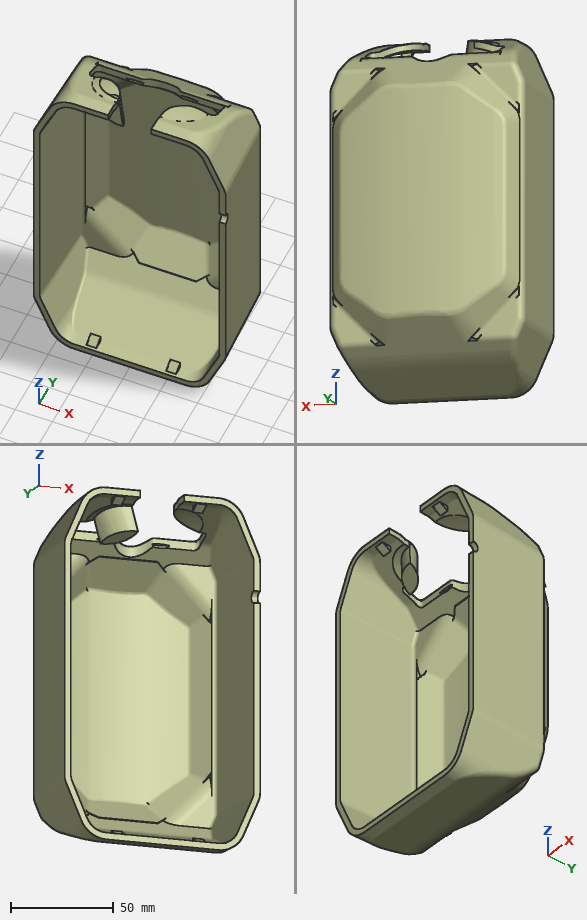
import cadquery as cq
import math

HEIGHT = 177.7
WIDTH = 103.0
DEPTH = 63.3
WALL = 3.4
DRAFT = 2.4

HALF_WIDTH = WIDTH / 2
HALF_HEIGHT = HEIGHT / 2
FOLD_Z = 60.3
END_HALF_WIDTH = 39.0
FOLD_RADIUS = 9.8
END_RADIUS = 14.2

LIP_DEPTH = 6.4
KNEE_Y = 39.5
KNEE_Z = 76.8
KNEE_RADIUS = 30.2
INNER_KNEE_RADIUS = 10.7
SHOULDER_Y = 49.6
SHOULDER_WALL = 3.7
GENTLE_DROP = 3.7
STEEP_DROP = 5.3
STEEP_SLOPE = 0.83
FRONT_MARGIN = 17.8
REAR_MARGIN_Y = 80.0

BACK_RADIUS = 140.5
FLOOR_WALL = 1.8
PAD_HALF_WIDTH = 47.1
PAD_OVERHANG = 1.0
PAD_CORNER_SUM = 92.5
PAD_SIDE_SLOPE = 0.7
PAD_CORNER_SLOPE = 1.25
PAD_ROOT = 5.3
HOLLOW_HALF_WIDTH = 43.9
HOLLOW_HALF_HEIGHT = 65.8
HOLLOW_CORNER_SUM = 87.1

PAD_EDGE_RADIUS = 3.5
PAD_CORNER_RADIUS = 17.8
HOLLOW_CORNER_RADIUS = 4.5
BASIN_EDGE_RADIUS = 3.9
BLEND_RADIUS = 3.4
INNER_EDGE_RADIUS = 1.8
HOLLOW_BLEND_RADIUS = 9.8
BLEND_ROOT = 0.9
TOLERANCE = 0.02
PARALLEL = 0.97

STEM_HALF_WIDTH = 11.5
SLOT_HALF_WIDTH = 34.1
SLOT_FRONT_Y = 26.8
SLOT_CORNER_RADIUS = 2.7
SLOT_REAR_Y = 39.3
RELIEF_HALF_WIDTH = 35.4
RELIEF_REAR_Y = 42.5
RELIEF_DEPTH = 0.7
EAR_RADIUS = 15.6
CABLE_RADIUS = 11.5
CABLE_REAR_Y = 45.0
CABLE_EDGE_RADIUS = 2.7
CUT_BASE_Z = 53.3
CUT_TOP_Z = 106.6

DOME_X = 13.9
DOME_Y = 26.0
DOME_RADIUS = 16.4
DOME_HEIGHT = 2.8
DOME_FLAT_HEIGHT = 2.3

PILLAR_RADIUS = 15.1
PILLAR_CENTRE = (-12.5, 28.5)
PILLAR_LEAN = (0.2, -0.15)
PILLAR_TOP_Z = 87.1
PILLAR_LENGTH = 28.5
PILLAR_DEPTH = 15.1

TAB_X = 21.3
TAB_WIDTH = 5.3
TAB_HEIGHT = 3.2
TAB_START_Y = 1.8
TAB_END_Y = 7.1
GROOVE_Z = 40.7
GROOVE_RADIUS = 3.0

SLOPE_ANGLE = math.atan2(HALF_HEIGHT - KNEE_Z, KNEE_Y - LIP_DEPTH)
SLOPE_NORMAL = cq.Vector(0, math.sin(SLOPE_ANGLE), math.cos(SLOPE_ANGLE))


def slope_z(y):
    """Height of the gently sloped top skin at depth y."""
    return HALF_HEIGHT - (y - LIP_DEPTH) * math.tan(SLOPE_ANGLE)


def steep_z(y):
    """Height of the steeply sloped top skin at depth y."""
    return KNEE_Z - STEEP_SLOPE * (y - KNEE_Y)


def rim_outline(inset):
    """Sketch of the rim outline with X across and Z up, moved inward by the inset."""
    corners = cq.Workplane("XY").polyline([
        (HALF_WIDTH, -FOLD_Z), (HALF_WIDTH, FOLD_Z),
        (END_HALF_WIDTH, HALF_HEIGHT), (-END_HALF_WIDTH, HALF_HEIGHT),
        (-HALF_WIDTH, FOLD_Z), (-HALF_WIDTH, -FOLD_Z),
        (-END_HALF_WIDTH, -HALF_HEIGHT), (END_HALF_WIDTH, -HALF_HEIGHT),
    ]).close()
    if inset > 0:
        corners = corners.offset2D(-inset, "intersection")
    return (
        cq.Sketch().face(corners.val())
        .vertices(">X or <X").fillet(FOLD_RADIUS - inset)
        .reset().vertices(">Y or <Y").fillet(END_RADIUS - inset)
        .reset()
    )


def end_profile(gentle_drop, steep_drop, knee_radius):
    """Prism along X with the gentle and steep slopes of both ends, lowered by the drops."""
    knee_y = KNEE_Y - (steep_drop - gentle_drop) / (STEEP_SLOPE - math.tan(SLOPE_ANGLE))
    upper = [
        (-FRONT_MARGIN, slope_z(-FRONT_MARGIN) - gentle_drop),
        (knee_y, slope_z(knee_y) - gentle_drop),
        (REAR_MARGIN_Y, steep_z(REAR_MARGIN_Y) - steep_drop),
    ]
    lower = [(y, -z) for y, z in reversed(upper)]
    prism = cq.Workplane("YZ").polyline(upper + lower).close().extrude(HALF_WIDTH, both=True)
    knees = cq.selectors.BoxSelector(
        (-1.8, LIP_DEPTH, -HALF_HEIGHT), (1.8, SHOULDER_Y, HALF_HEIGHT))
    return prism.edges("|X").edges(knees).fillet(knee_radius)


class RearRim(cq.Selector):
    """Edges around the slopes and the shoulder of a basin, without its draft edges.

    The straight edges along X belong to it only when they bound the shoulder and round_ends is set.
    """

    def __init__(self, shoulder_y, round_ends):
        self.shoulder_y = shoulder_y
        self.round_ends = round_ends

    def filter(self, edges):
        return [edge for edge in edges if self.is_rim(edge)]

    def is_rim(self, edge):
        direction = edge.tangentAt(0.5)
        if abs(direction.y) > PARALLEL:
            return False
        if abs(direction.x) > PARALLEL:
            return self.round_ends and edge.Center().y > self.shoulder_y - TOLERANCE
        return edge.Center().y > LIP_DEPTH + WALL


def basin(inset, shoulder_y, ends, edge_radius, round_ends):
    """Drafted block up to the flat shoulder, with its sides moved inward and its ends cut by the prism."""
    block = (
        cq.Workplane("XY").placeSketch(rim_outline(inset))
        .extrude(shoulder_y, taper=DRAFT)
        .rotate((0, 0, 0), (1, 0, 0), -90)
        .intersect(ends)
    )
    return block.edges(RearRim(shoulder_y, round_ends)).fillet(edge_radius)


def octagon(half_width, half_height, corner_sum):
    """Points of an octagon with 45 degree corner faces."""
    quarter = [
        (half_width, corner_sum - half_width),
        (corner_sum - half_height, half_height),
    ]
    right = [(x, -z) for x, z in reversed(quarter)] + quarter
    left = [(-x, -z) for x, z in right]
    return right + left


def pad(shoulder_y, half_width, half_height, corner_sum, corner_radius, rear_inset):
    """Tapering octagonal block, sized at the shoulder, with a rear face on a cylinder along Z."""
    rise = DEPTH - shoulder_y

    def section(height):
        return octagon(
            half_width - PAD_SIDE_SLOPE * height,
            half_height - STEEP_SLOPE * height,
            corner_sum - PAD_CORNER_SLOPE * height,
        )

    block = (
        cq.Workplane("XZ", origin=(0, shoulder_y - PAD_ROOT, 0)).polyline(section(-PAD_ROOT)).close()
        .workplane(offset=-PAD_ROOT - rise).polyline(section(rise)).close()
        .loft(ruled=True)
    )
    slanted = cq.selectors.BoxSelector(
        (-HALF_WIDTH, shoulder_y, -HALF_HEIGHT), (HALF_WIDTH, DEPTH - TOLERANCE, HALF_HEIGHT))
    barrel = (
        cq.Workplane("XY", origin=(0, DEPTH - BACK_RADIUS, -HALF_HEIGHT))
        .circle(BACK_RADIUS - rear_inset).extrude(HEIGHT)
    )
    limit = cq.Workplane("XY").box(2 * (half_width + PAD_OVERHANG), 4 * DEPTH, HEIGHT)
    block = block.edges(slanted).fillet(corner_radius).intersect(barrel).intersect(limit)
    return block.faces(">Y").edges().fillet(PAD_EDGE_RADIUS - rear_inset)


def corner_blends(shoulder_y, corner_sum, half_width, ends, radius):
    """Concave blends where the four corner faces of a pad meet the shoulder."""
    foot = corner_sum * math.sqrt(0.5)
    face_angle = math.atan2(1, -PAD_CORNER_SLOPE * math.sqrt(0.5))
    tangent = radius / math.tan(face_angle / 2)
    middle = radius / math.sin(face_angle / 2) - radius
    blends = cq.Workplane("XY")
    for side in (-1, 1):
        for end in (-1, 1):
            plane = cq.Plane(origin=(0, shoulder_y, 0), xDir=(side, 0, end), normal=(-end, 0, side))
            rib = (
                cq.Workplane(plane)
                .moveTo(foot - tangent, -BLEND_ROOT)
                .lineTo(foot + tangent, -BLEND_ROOT)
                .lineTo(foot + tangent, 0)
                .threePointArc(
                    (foot + middle * math.cos(face_angle / 2), middle * math.sin(face_angle / 2)),
                    (foot + tangent * math.cos(face_angle), tangent * math.sin(face_angle)),
                )
                .close()
                .extrude(HALF_WIDTH, both=True)
            )
            blends = blends.add(rib)
    limit = ends.intersect(cq.Workplane("XY").box(2 * half_width, 4 * DEPTH, HEIGHT))
    return blends.combine().intersect(limit)


def outer_form():
    """Solid outer shape of the housing."""
    ends = end_profile(0, 0, KNEE_RADIUS)
    raised = pad(
        SHOULDER_Y, PAD_HALF_WIDTH, steep_z(SHOULDER_Y), PAD_CORNER_SUM, PAD_CORNER_RADIUS, 0)
    blends = corner_blends(SHOULDER_Y, PAD_CORNER_SUM, PAD_HALF_WIDTH, ends, BLEND_RADIUS)
    body = basin(0, SHOULDER_Y, ends, BASIN_EDGE_RADIUS, True)
    return body.union(raised).union(blends)


def inner_form():
    """Solid shape of the housing cavity."""
    shoulder_y = SHOULDER_Y - SHOULDER_WALL
    ends = end_profile(GENTLE_DROP, STEEP_DROP, INNER_KNEE_RADIUS)
    hollow = pad(
        shoulder_y, HOLLOW_HALF_WIDTH, HOLLOW_HALF_HEIGHT,
        HOLLOW_CORNER_SUM, HOLLOW_CORNER_RADIUS, FLOOR_WALL,
    )
    blends = corner_blends(
        shoulder_y, HOLLOW_CORNER_SUM, HOLLOW_HALF_WIDTH, ends, HOLLOW_BLEND_RADIUS)
    body = basin(WALL, shoulder_y, ends, INNER_EDGE_RADIUS, False)
    return body.union(hollow).union(blends)


def slope_cylinder(side, radius, low, high):
    """Cylinder around a dome axis between two heights above the slope."""
    foot = cq.Vector(side * DOME_X, DOME_Y, slope_z(DOME_Y))
    start = foot + SLOPE_NORMAL * low
    return cq.Workplane(cq.Solid.makeCylinder(radius, high - low, start, SLOPE_NORMAL))


def dome_ball(side, inset):
    """Ball whose cap forms the dome."""
    ball_radius = (DOME_RADIUS ** 2 + DOME_HEIGHT ** 2) / (2 * DOME_HEIGHT)
    foot = cq.Vector(side * DOME_X, DOME_Y, slope_z(DOME_Y))
    centre = foot - SLOPE_NORMAL * (ball_radius - DOME_HEIGHT)
    return cq.Workplane("XY").sphere(ball_radius - inset).translate(centre.toTuple())


def dome(side):
    """Flat-topped cap raised above the slope."""
    return dome_ball(side, 0).intersect(
        slope_cylinder(side, DOME_RADIUS, -WALL / 2, DOME_FLAT_HEIGHT))


def dome_hollow(side):
    """Cap-shaped hollow under a dome."""
    return dome_ball(side, WALL).intersect(
        slope_cylinder(side, DOME_RADIUS, -2 * WALL, DOME_HEIGHT))


def slot():
    """Wide slot with round corners and a round notch for the cable in its rear edge."""
    height = CUT_TOP_Z - CUT_BASE_Z
    length = SLOT_REAR_Y - SLOT_FRONT_Y
    wide = (
        cq.Workplane("XY", origin=(0, SLOT_FRONT_Y + length / 2, CUT_BASE_Z))
        .rect(2 * SLOT_HALF_WIDTH, length).extrude(height)
        .edges("|Z").fillet(SLOT_CORNER_RADIUS)
    )
    cable = (
        cq.Workplane("XY", origin=(0, CABLE_REAR_Y - CABLE_RADIUS, CUT_BASE_Z))
        .circle(CABLE_RADIUS).extrude(height)
    )
    junctions = cq.selectors.BoxSelector(
        (-CABLE_RADIUS, SLOT_REAR_Y - TOLERANCE, CUT_BASE_Z),
        (CABLE_RADIUS, SLOT_REAR_Y + TOLERANCE, CUT_TOP_Z),
    )
    return wide.union(cable).edges("|Z").edges(junctions).fillet(CABLE_EDGE_RADIUS)


def slot_relief():
    """Shallow bevel of the outer skin behind the slot."""
    return (
        cq.Workplane("YZ")
        .moveTo(SLOT_REAR_Y, slope_z(SLOT_REAR_Y) - RELIEF_DEPTH)
        .lineTo(RELIEF_REAR_Y, steep_z(RELIEF_REAR_Y))
        .lineTo(RELIEF_REAR_Y, CUT_TOP_Z)
        .lineTo(SLOT_REAR_Y, CUT_TOP_Z)
        .close()
        .extrude(RELIEF_HALF_WIDTH, both=True)
    )


def stem():
    """Gap through the lip that widens with round corners into the slot."""
    ear_x = STEM_HALF_WIDTH + EAR_RADIUS
    ear_y = SLOT_FRONT_Y - EAR_RADIUS
    bend = EAR_RADIUS * math.sqrt(0.5)
    return (
        cq.Workplane("XY", origin=(0, 0, CUT_BASE_Z))
        .moveTo(STEM_HALF_WIDTH, -FRONT_MARGIN)
        .lineTo(STEM_HALF_WIDTH, ear_y)
        .threePointArc((ear_x - bend, ear_y + bend), (ear_x, SLOT_FRONT_Y))
        .lineTo(-ear_x, SLOT_FRONT_Y)
        .threePointArc((bend - ear_x, ear_y + bend), (-STEM_HALF_WIDTH, ear_y))
        .lineTo(-STEM_HALF_WIDTH, -FRONT_MARGIN)
        .close()
        .extrude(CUT_TOP_Z - CUT_BASE_Z)
    )


def tab(x, end):
    """Wedge inside the lip of the top (end = 1) or bottom (end = -1)."""
    lip_z = HALF_HEIGHT - WALL
    return (
        cq.Workplane("YZ", origin=(x - TAB_WIDTH / 2, 0, 0))
        .polyline([
            (TAB_START_Y, end * (lip_z + WALL / 2)), (TAB_START_Y, end * lip_z),
            (TAB_END_Y, end * (lip_z - TAB_HEIGHT)), (TAB_END_Y, end * (lip_z + WALL / 2)),
        ])
        .close().extrude(TAB_WIDTH)
    )


def rim_groove():
    """Half-round groove across the rim of the +X wall."""
    return (
        cq.Workplane("YZ", origin=(HALF_WIDTH - 2 * WALL, 0, GROOVE_Z))
        .circle(GROOVE_RADIUS).extrude(3 * WALL)
    )


def make_pillar():
    """Leaning pillar with a lens section, between the round stem corner and its own round front."""
    ear_centre = (-STEM_HALF_WIDTH - EAR_RADIUS, SLOT_FRONT_Y - EAR_RADIUS)
    lean = cq.Vector(*PILLAR_LEAN, -1) * PILLAR_LENGTH

    def leaning_cylinder(centre, radius):
        circle = cq.Wire.makeCircle(radius, cq.Vector(*centre, PILLAR_TOP_Z), cq.Vector(0, 0, 1))
        return cq.Workplane(cq.Solid.extrudeLinear(circle, [], lean))

    lens = leaning_cylinder(ear_centre, EAR_RADIUS).intersect(
        leaning_cylinder(PILLAR_CENTRE, PILLAR_RADIUS))
    ends = dome_ball(-1, 0).intersect(
        slope_cylinder(-1, 2 * DOME_RADIUS, -PILLAR_DEPTH, DOME_FLAT_HEIGHT))
    return lens.intersect(ends)


def make_housing(pillar):
    """Hollow housing with its openings, tabs and the seat of the pillar."""
    skin = outer_form()
    cavity = inner_form()
    for side in (-1, 1):
        skin = skin.union(dome(side))
        cavity = cavity.union(dome_hollow(side))
    housing = skin.cut(cavity)
    for end in (-1, 1):
        for x in (-TAB_X, TAB_X):
            housing = housing.union(tab(x, end))
    for opening in (slot(), slot_relief(), stem(), rim_groove()):
        housing = housing.cut(opening)
    return housing.cut(pillar)


pillar = make_pillar()
housing = make_housing(pillar)
result = cq.Compound.makeCompound([*housing.solids().vals(), *pillar.solids().vals()])